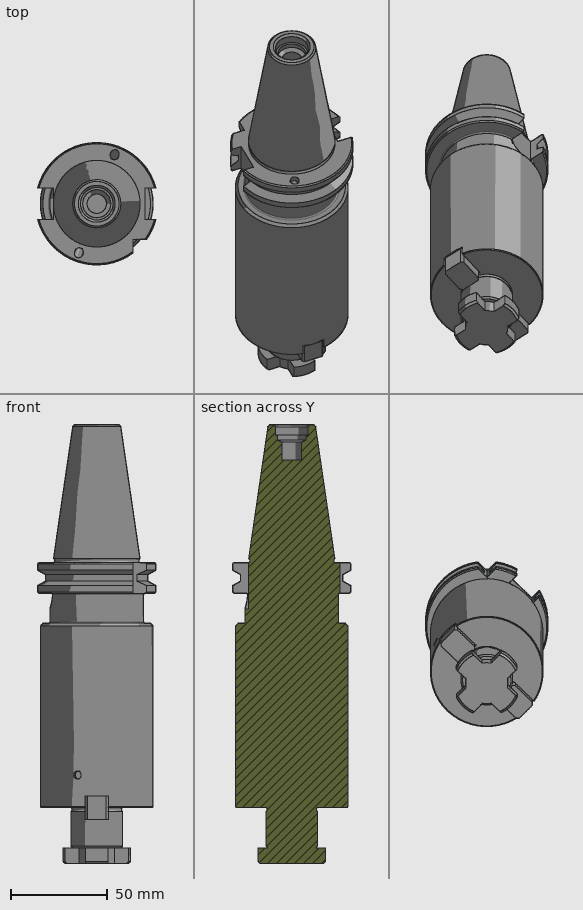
import cadquery as cq
import math

total_height = 227.5
gauge_height = 159.2
flange_top = 156.0
flange_bottom = 140.0
shoulder_height = 124.6
body_bottom = 29.0
screw_head_height = 8.2

gauge_radius = 22.3
taper_ratio = 7 / 24
taper_end = 158.0
taper_tip_chamfer = 1.0

flange_diameter = 63.5
flange_radius = flange_diameter / 2
flange_edge_chamfer = 0.7
groove_radius = 27.7
groove_floor_height = 3.5
groove_middle = (flange_top + flange_bottom) / 2
groove_flank_rise = (flange_radius - groove_radius) * math.tan(math.radians(30))

relief_depth = 0.57

neck_radius = 24.3
neck_fillet = 0.7
body_diameter = 58.5
body_radius = body_diameter / 2
body_top_chamfer = 1.4
body_bottom_chamfer = 0.5
stub_radius = 13.5
stub_groove_height = 2.0
stub_end_chamfer = 1.0

bore_mouth_radius = 9.5
bore_radius = 8.5
bore_depth = 5.5
pilot_radius = 7.3
pilot_depth = 8.0
core_radius = 5.0
core_depth = 18.2
core_cone_height = 1.1

slot_width = 16.1
deep_slot_floor = 22.5
shallow_slot_floor = 25.0
slot_round_center = flange_bottom
notch_x = 18.9
notch_y = 18.5

flange_hole_radius = 2.3
flange_hole_circle = 27.0
flange_hole_angle = 70
flange_hole_tilt = 30
flange_hole_depth = 9.0
set_screw_radius = 2.0
set_screw_height = 46.0
set_screw_angle = 250
set_screw_depth = 2.3

key_width = 12.0
key_top = 35.0
key_bottom = 23.0
key_outer = 28.5
key_inner = 13.6
key_chamfer = 1.1

screw_head_radius = 17.5
screw_head_chamfer = 1.1
lug_width = 11.8
hub_radius = 11.0


def taper_radius(height):
    return gauge_radius - (height - gauge_height) * taper_ratio / 2


def make_turned_body():
    tip_shoulder = total_height - taper_tip_chamfer
    stub_groove_bottom = body_bottom - stub_groove_height
    stub_groove_middle = body_bottom - stub_groove_height / 2
    taper_end_radius = taper_radius(taper_end)
    taper_groove_middle = (taper_end + flange_top) / 2
    lower_flank = groove_middle - groove_floor_height / 2
    upper_flank = groove_middle + groove_floor_height / 2
    outline = (
        cq.Workplane("XZ")
        .moveTo(0, screw_head_height)
        .lineTo(stub_radius - stub_end_chamfer, screw_head_height)
        .lineTo(stub_radius, screw_head_height + stub_end_chamfer)
        .lineTo(stub_radius, stub_groove_bottom)
        .threePointArc((stub_radius - relief_depth, stub_groove_middle), (stub_radius, body_bottom))
        .lineTo(body_radius - body_bottom_chamfer, body_bottom)
        .lineTo(body_radius, body_bottom + body_bottom_chamfer)
        .lineTo(body_radius, shoulder_height - body_top_chamfer)
        .lineTo(body_radius - body_top_chamfer, shoulder_height)
        .lineTo(neck_radius + neck_fillet, shoulder_height)
        .radiusArc((neck_radius, shoulder_height + neck_fillet), neck_fillet)
        .lineTo(neck_radius, flange_bottom - neck_fillet)
        .radiusArc((neck_radius + neck_fillet, flange_bottom), neck_fillet)
        .lineTo(flange_radius - flange_edge_chamfer, flange_bottom)
        .lineTo(flange_radius, flange_bottom + flange_edge_chamfer)
        .lineTo(flange_radius, lower_flank - groove_flank_rise)
        .lineTo(groove_radius, lower_flank)
        .lineTo(groove_radius, upper_flank)
        .lineTo(flange_radius, upper_flank + groove_flank_rise)
        .lineTo(flange_radius, flange_top - flange_edge_chamfer)
        .lineTo(flange_radius - flange_edge_chamfer, flange_top)
        .lineTo(taper_end_radius, flange_top)
        .threePointArc(
            (taper_end_radius - relief_depth, taper_groove_middle), (taper_end_radius, taper_end)
        )
        .lineTo(taper_radius(tip_shoulder), tip_shoulder)
        .lineTo(taper_radius(tip_shoulder) - taper_tip_chamfer, total_height)
        .lineTo(0, total_height)
        .close()
    )
    return outline.revolve(360, (0, 0, 0), (0, 1, 0))


def make_bore():
    mouth_chamfer = bore_mouth_radius - bore_radius
    outline = [
        (0, total_height),
        (bore_mouth_radius, total_height),
        (bore_radius, total_height - mouth_chamfer),
        (bore_radius, total_height - bore_depth),
        (pilot_radius, total_height - bore_depth),
        (pilot_radius, total_height - pilot_depth),
        (core_radius, total_height - pilot_depth - core_cone_height),
        (core_radius, total_height - core_depth),
        (0, total_height - core_depth),
    ]
    return cq.Workplane("XZ").polyline(outline).close().revolve(360, (0, 0, 0), (0, 1, 0))


def make_drive_slot(floor, side):
    """Round-ended slot outside x = floor; side is +1 for +X and -1 for -X."""
    straight_height = flange_top - slot_round_center
    slot = (
        cq.Workplane("YZ", origin=(side * floor, 0, 0))
        .center(0, slot_round_center + straight_height / 2)
        .rect(slot_width, straight_height)
        .extrude(side * flange_radius)
    )
    round_end = (
        cq.Workplane("YZ", origin=(side * floor, 0, slot_round_center))
        .circle(slot_width / 2)
        .extrude(side * flange_radius)
    )
    return slot.union(round_end)


def make_notch():
    notch = cq.Workplane("XY").box(
        flange_radius, flange_radius, flange_top - flange_bottom, centered=False
    )
    return notch.translate((notch_x, -notch_y - flange_radius, flange_bottom))


def make_flange_hole(angle):
    """Tilted hole whose axis meets the flange face on the hole circle."""
    overrun = 2 * flange_hole_radius
    return (
        cq.Workplane("XY", origin=(0, 0, overrun))
        .circle(flange_hole_radius)
        .extrude(-overrun - flange_hole_depth)
        .rotate((0, 0, 0), (0, 1, 0), flange_hole_tilt)
        .translate((flange_hole_circle, 0, flange_top))
        .rotate((0, 0, 0), (0, 0, 1), angle)
    )


def make_set_screw_hole():
    return (
        cq.Workplane("YZ", origin=(body_radius - set_screw_depth, 0, set_screw_height))
        .circle(set_screw_radius)
        .extrude(body_radius)
        .rotate((0, 0, 0), (0, 0, 1), set_screw_angle)
    )


def make_key_block(outer, bottom):
    """Block on the -Y side from the key's inner end out to y = -outer."""
    length = outer - key_inner
    return (
        cq.Workplane("XY", origin=(0, -key_inner - length / 2, bottom))
        .rect(key_width, length)
        .extrude(key_top - bottom)
    )


def make_screw_head():
    disc = (
        cq.Workplane("XY").circle(screw_head_radius).extrude(screw_head_height)
        .faces("<Z").chamfer(screw_head_chamfer)
    )
    diameter = 2 * screw_head_radius
    cross = cq.Workplane("XY").rect(diameter, lug_width).extrude(screw_head_height)
    cross = cross.union(cq.Workplane("XY").rect(lug_width, diameter).extrude(screw_head_height))
    cross = cross.union(cq.Workplane("XY").circle(hub_radius).extrude(screw_head_height))
    return disc.intersect(cross)


result = make_turned_body().cut(make_bore())
result = result.cut(make_drive_slot(deep_slot_floor, -1))
result = result.cut(make_drive_slot(shallow_slot_floor, 1))
result = result.cut(make_notch()).cut(make_set_screw_hole())

key_pocket = make_key_block(body_radius, body_bottom)
key = make_key_block(key_outer, key_bottom).edges("|Z").chamfer(key_chamfer)
for angle in (0, 180):
    result = result.cut(make_flange_hole(flange_hole_angle + angle))
    result = result.cut(key_pocket.rotate((0, 0, 0), (0, 0, 1), angle))
    result = result.union(key.rotate((0, 0, 0), (0, 0, 1), angle))

result = result.union(make_screw_head())